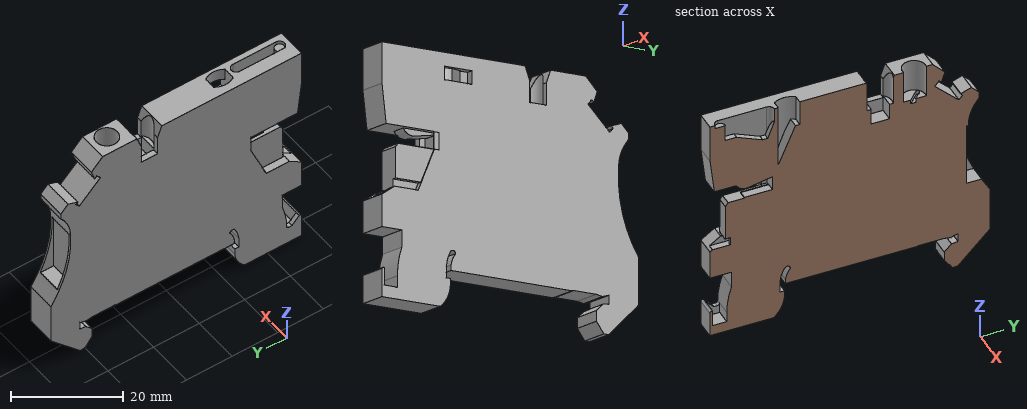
import cadquery as cq


thickness = 6.15
length = 55.0
height = 46.85
front_window_depth = 11.15
inner_window_depth = 12.25
window_ceiling = 31.95
foot_ledge_z = 20.7
foot_chamfer_y = 2.7
foot_top_z = 18.85
rail_seat_z = 6.95
lip_z = 5.45
lip_back_y = 0.55

groove_floor_z = 3.85
groove_wall_y = 3.3
groove_fillet = 0.45
groove_back_y = 4.25
groove_top_z = 12.85

notch_front_y = 31.6
notch_back_y = 35.2
notch_flare = 0.95
notch_floor_z = 40.25
notch_flare_z = 44.4

bore_radius = 2.65
bore_floor_z = 40.65
well_left_x = 1.2
well_right_x = 4.95
well_floor_z = 37.4

screw_x = 3.5
screw_y = 40.2
screw_diameter = 4.5
screw_head_z = 40.25
screw_slot_width = 0.65
screw_slot_depth = 0.8

slot_front_y = 1.05
slot_back_y = 12.65
slot_width = 2.1
slot_x = 3.85
pin_diameter = 2.0
pin_top_z = 46.2
slot_upper_floor_z = 42.9
slot_lower_floor_z = 40.7
slot_ramp_front_y = 5.2
slot_ramp_back_y = 10.35
slot_end_ramp_y = 11.35
slot_end_ramp_z = 44.0

shaft_x = 3.5
shaft_front_y = 13.4
shaft_back_y = 17.6
shaft_end_width = 2.5
shaft_mid_width = 3.8
shaft_ledge_y = 16.8
shaft_ledge_z = 41.8
shaft_bottom_z = 34.1
side_window_top_z = 44.3
side_window_back_y = 19.25

block_left_x = 1.55
block_right_x = 6.0
block_front_y = 3.0
block_top_z = 28.75
block_chamfer_y = 0.55
block_chamfer_z = 0.7
relief_left_x = 5.1
relief_top_z = 22.3

spring_left_x = 2.2
spring_right_x = 5.15
pad_front_y = 6.75
pad_height = 0.15

foot_pocket_left_x = 2.65
foot_pocket_right_x = 4.6
foot_pocket_back_y = 4.95
foot_pocket_floor_z = 19.2
groove_pocket_left_x = 0.95
groove_pocket_floor_z = 2.2
flank_pocket_left_x = 0.5
flank_pocket_right_x = 5.65
flank_pocket_front_y = 50.3
flank_pocket_back_y = 53.25
flank_pocket_floor_z = 18.1
flank_pocket_top_z = 30.8


def box(x_range, y_range, z_range):
    """Box between the given lower and upper limits on each axis."""
    limits = (x_range, y_range, z_range)
    sizes = [high - low for low, high in limits]
    corner = tuple(low for low, high in limits)
    return cq.Workplane("XY").box(*sizes, centered=False).translate(corner)


def prism(yz_points, left_x, right_x):
    """Straight-sided YZ outline extruded from left_x to right_x."""
    outline = cq.Workplane("YZ", origin=(left_x, 0, 0)).polyline(yz_points).close()
    return outline.extrude(right_x - left_x)


def make_body():
    """Side profile, followed from the front foot upwards and round to the rail clip."""
    outline = cq.Workplane("YZ").moveTo(0, 0).lineTo(0, 5.1)
    outline = outline.threePointArc((0.1, 5.35), (0.35, lip_z)).lineTo(lip_back_y, lip_z)
    outline = (
        outline.lineTo(2.15, groove_floor_z)
        .lineTo(groove_wall_y - groove_fillet, groove_floor_z)
        .tangentArcPoint((groove_wall_y, groove_floor_z + groove_fillet), relative=False)
        .tangentArcPoint((groove_back_y, 9.7), relative=False)
        .lineTo(groove_back_y, groove_top_z)
        .lineTo(0, groove_top_z)
    )
    outline = (
        outline.lineTo(0, foot_top_z)
        .lineTo(foot_chamfer_y, foot_ledge_z)
        .lineTo(7.75, foot_ledge_z)
        .lineTo(front_window_depth, 28.6)
        .lineTo(front_window_depth, window_ceiling)
        .lineTo(0.9, window_ceiling)
        .lineTo(0, 39.2)
        .lineTo(0, height)
    )
    outline = (
        outline.lineTo(notch_front_y - notch_flare, height)
        .lineTo(notch_front_y, notch_flare_z)
        .lineTo(notch_front_y, notch_floor_z)
        .lineTo(notch_back_y, notch_floor_z)
        .lineTo(notch_back_y, notch_flare_z)
        .lineTo(notch_back_y + notch_flare, height)
    )
    outline = (
        outline.lineTo(43.65, height)
        .lineTo(46.15, 44.35)
        .lineTo(45.45, 42.25)
        .lineTo(44.95, 42.6)
        .lineTo(44.15, 41.75)
        .lineTo(48.8, 37.3)
        .lineTo(49.5, 38.0)
        .lineTo(49.1, 38.5)
        .lineTo(51.25, 39.25)
        .lineTo(52.85, 37.7)
        .lineTo(52.85, 36.4)
    )
    outline = (
        outline.threePointArc((51.3, 34.0), (50.7, 30.65))
        .threePointArc((52.0, 21.3), (length, 15.2))
        .lineTo(length, 6.3)
        .lineTo(48.6, 0)
        .lineTo(47.5, 0)
        .lineTo(45.9, 2.1)
        .lineTo(45.9, 4.05)
        .lineTo(47.35, lip_z)
        .lineTo(48.6, 5.6)
        .lineTo(48.6, 7.25)
        .lineTo(47.25, 6.8)
        .lineTo(45.85, 7.05)
        .lineTo(40.85, 7.05)
        .lineTo(40.85, rail_seat_z)
    )
    outline = (
        outline.lineTo(14.8, rail_seat_z)
        .lineTo(14.8, 7.9)
        .threePointArc((15.2, 9.2), (15.8, 10.2))
        .threePointArc((15.3, 10.65), (14.7, 10.4))
        .threePointArc((14.1, 9.0), (13.8, 7.65))
        .lineTo(13.8, lip_z)
        .lineTo(14.7, lip_z)
        .lineTo(14.7, 4.1)
        .threePointArc((14.0, 1.8), (12.55, 0))
        .close()
    )
    return outline.extrude(thickness)


def make_notch_bore():
    """Upright bore that widens the wire-entry notch, with a square well in its floor."""
    centre_y = (notch_front_y + notch_back_y) / 2
    plane = cq.Workplane("XY", origin=(thickness / 2, centre_y, bore_floor_z))
    bore = plane.circle(bore_radius).extrude(height - bore_floor_z)
    well = box(
        (well_left_x, well_right_x),
        (notch_front_y, notch_back_y),
        (well_floor_z, bore_floor_z),
    )
    return bore.union(well)


def make_screw_hole():
    """Screw hole, ending on a screw head with a driver slot at 45 degrees."""
    plane = cq.Workplane("XY", origin=(screw_x, screw_y, screw_head_z))
    hole = plane.circle(screw_diameter / 2).extrude(height - screw_head_z)
    driver_slot = (
        plane.transformed(rotate=(0, 0, -45))
        .slot2D(screw_diameter, screw_slot_width)
        .extrude(-screw_slot_depth)
    )
    return hole.union(driver_slot)


def make_test_slot():
    """Round-ended slot with a stepped, ramped floor and a pin standing at its front."""
    slot_length = slot_back_y - slot_front_y
    slot = (
        cq.Workplane("XY", origin=(slot_x, slot_front_y + slot_length / 2, slot_lower_floor_z))
        .slot2D(slot_length, slot_width, 90)
        .extrude(height - slot_lower_floor_z)
    )
    floor_outline = [
        (slot_front_y, height),
        (slot_front_y, slot_upper_floor_z),
        (slot_ramp_front_y, slot_upper_floor_z),
        (slot_ramp_back_y, slot_lower_floor_z),
        (slot_end_ramp_y, slot_lower_floor_z),
        (slot_back_y, slot_end_ramp_z),
        (slot_back_y, height),
    ]
    slot = slot.intersect(prism(floor_outline, 0, thickness))
    pin_y = slot_front_y + slot_width / 2
    pin_plane = cq.Workplane("XY", origin=(slot_x, pin_y, slot_lower_floor_z))
    pin = pin_plane.circle(pin_diameter / 2).extrude(pin_top_z - slot_lower_floor_z)
    return slot.cut(pin)


def make_driver_shaft():
    """Screwdriver shaft with bulged sides, a ledge and a steep back, open to the right side."""
    middle_y = (shaft_front_y + shaft_back_y) / 2
    half_end = shaft_end_width / 2
    half_mid = shaft_mid_width / 2
    shaft = (
        cq.Workplane("XY", origin=(shaft_x, 0, shaft_bottom_z))
        .moveTo(-half_end, shaft_front_y)
        .lineTo(half_end, shaft_front_y)
        .threePointArc((half_mid, middle_y), (half_end, shaft_back_y))
        .lineTo(-half_end, shaft_back_y)
        .threePointArc((-half_mid, middle_y), (-half_end, shaft_front_y))
        .close()
        .extrude(height - shaft_bottom_z)
    )
    depth_outline = [
        (shaft_front_y, height),
        (shaft_front_y, shaft_bottom_z),
        (shaft_ledge_y, shaft_ledge_z),
        (shaft_back_y, shaft_ledge_z),
        (shaft_back_y, height),
    ]
    shaft = shaft.intersect(prism(depth_outline, 0, thickness))
    side_window = box(
        (shaft_x + half_end, thickness),
        (shaft_front_y, side_window_back_y),
        (shaft_ledge_z, side_window_top_z),
    )
    return shaft.union(side_window)


def make_foot_pocket():
    """Pocket in the foot chamfer, running back under the clamp block to a half-round pin."""
    pocket_width = foot_pocket_right_x - foot_pocket_left_x
    centre_x = foot_pocket_left_x + pocket_width / 2
    pin_front_y = foot_pocket_back_y - pocket_width / 2
    plane = cq.Workplane("XY", origin=(centre_x, 0, foot_pocket_floor_z))
    return (
        plane.moveTo(-pocket_width / 2, 0)
        .lineTo(pocket_width / 2, 0)
        .lineTo(pocket_width / 2, foot_pocket_back_y)
        .threePointArc((0, pin_front_y), (-pocket_width / 2, foot_pocket_back_y))
        .close()
        .extrude(foot_ledge_z - foot_pocket_floor_z)
    )


def make_inner_window():
    """Deeper part of the front window, above the clamp block."""
    return box(
        (block_left_x, block_right_x),
        (front_window_depth, inner_window_depth),
        (block_top_z, window_ceiling),
    )


def make_groove_pocket():
    """Deepened floor of the release groove, leaving a web at the left side face."""
    return box(
        (groove_pocket_left_x, thickness),
        (lip_back_y, groove_wall_y),
        (groove_pocket_floor_z, lip_z),
    )


def make_flank_pocket():
    """Shallow recess in the hollow back flank, between the side faces."""
    return box(
        (flank_pocket_left_x, flank_pocket_right_x),
        (flank_pocket_front_y, flank_pocket_back_y),
        (flank_pocket_floor_z, flank_pocket_top_z),
    )


def make_clamp_block():
    """Chamfered block filling the lower window, relieved at its lower right corner."""
    outline = [
        (block_front_y, foot_ledge_z),
        (block_front_y, block_top_z - block_chamfer_z),
        (block_front_y + block_chamfer_y, block_top_z),
        (front_window_depth, block_top_z),
        (front_window_depth, foot_ledge_z),
    ]
    block = prism(outline, block_left_x, block_right_x)
    relief = box(
        (relief_left_x, block_right_x),
        (block_front_y, front_window_depth),
        (foot_ledge_z, relief_top_z),
    )
    pad = box(
        (spring_left_x, spring_right_x),
        (pad_front_y, inner_window_depth),
        (block_top_z, block_top_z + pad_height),
    )
    return block.cut(relief).union(pad)


def make_spring():
    """Bulged spring end hanging from the ceiling of the front window."""
    return (
        cq.Workplane("YZ", origin=(spring_left_x, 0, 0))
        .moveTo(inner_window_depth, window_ceiling)
        .lineTo(inner_window_depth, 31.7)
        .lineTo(7.65, 30.8)
        .threePointArc((6.25, 30.95), (5.2, window_ceiling))
        .close()
        .extrude(spring_right_x - spring_left_x)
    )


body = make_body().cut(make_inner_window())
body = body.union(make_clamp_block()).union(make_spring())
cutters = (
    make_notch_bore(),
    make_screw_hole(),
    make_test_slot(),
    make_driver_shaft(),
    make_foot_pocket(),
    make_groove_pocket(),
    make_flank_pocket(),
)
for cutter in cutters:
    body = body.cut(cutter)

result = body